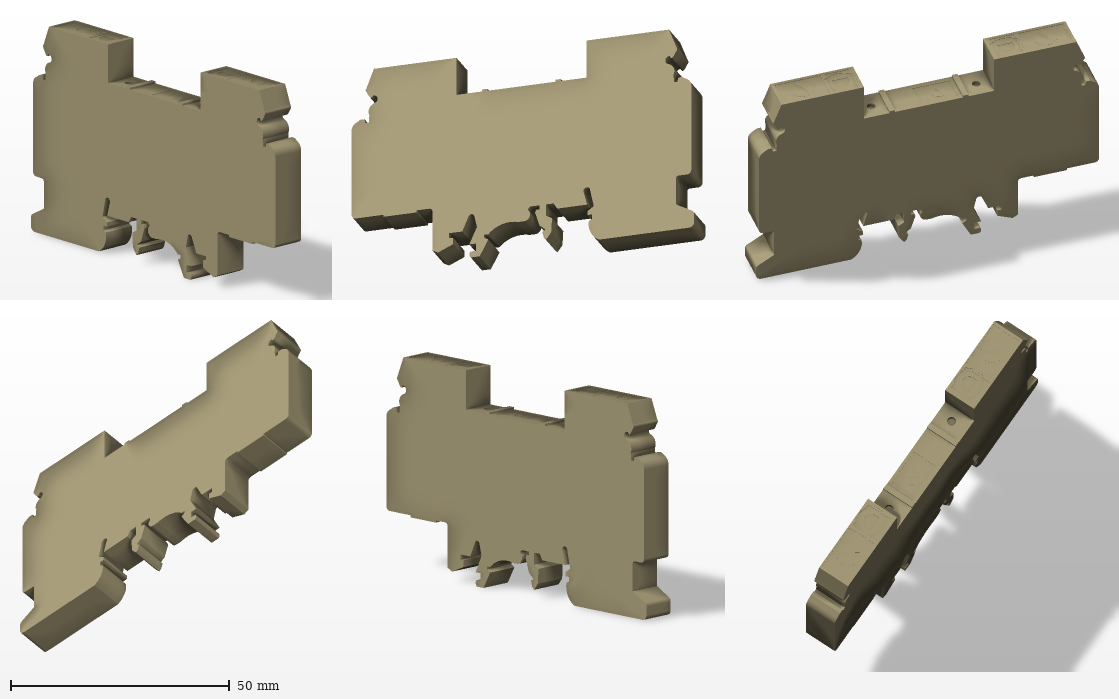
import cadquery as cq
import math


THICKNESS = 8.0
HALF_LENGTH = 41.05
TOP_Z = 50.11
CENTRE_Z = 40.9
BODY_BOTTOM_Z = 13.5
JOIN_Z = 20.0
CORNER_RADIUS = 1.0

TOWER_INNER_X = 15.7
TOWER_OUTER_X = 35.65
RIB_INNER_X = 8.2
RIB_WIDTH = 1.35
RIB_HEIGHT = 0.5

FOOT_X = -41.75
FOOT_BOTTOM_Z = 0.2
FOOT_RADIUS = 1.2
NECK_X = -37.4
NECK_FILLET = 0.6
SUPPORT_X = 21.5
SUPPORT_FILLET = 0.8
PAD_START_X = 25.3
PAD_END_X = 33.3
PAD_DROP = 0.5

DETAIL_Y = -0.22
STEP = 0.1
SLOT_ANGLE = -56.5
TERMINAL_SCREW_X = 29.35
TERMINAL_SCREW_DIAMETER = 5.2
TERMINAL_SLOT_WIDTH = 1.0
TERMINAL_PANEL = (11.1, 7.0)
TRIM_SCREW_X = 3.55
TRIM_SCREW_DIAMETER = 3.5
TRIM_SLOT_WIDTH = 0.7
TRIM_PANEL = (9.1, 6.05)
TRIM_PANEL_X = 2.75
TEST_HOLE_X = 12.7
TEST_HOLE_DIAMETER = 2.01
TEST_HOLE_DEPTH = 1.0
WINDOW_X = 19.95

WINDOW_HALF_WIDTH = 3.0
WINDOW_TOP_Y = 3.55
WINDOW_BOTTOM_Y = -3.0
FUNNEL_HALF_WIDTH = 3.55
FUNNEL_SHOULDER_Y = 1.6
FUNNEL_TOP_Y = 3.05
FUNNEL_LOWER_Y = -1.7
FUNNEL_BOTTOM_Y = -3.5
ENTRY_RADIUS = 1.9
ENTRY_TOP_Y = 1.05


def trace(start, steps):
    """Chain lines (one point) and arcs (mid point, end point) into a closed XZ slab."""
    outline = cq.Workplane("XZ", origin=(0, THICKNESS / 2, 0)).moveTo(*start)
    for step in steps:
        if len(step) == 1:
            outline = outline.lineTo(*step[0])
        else:
            outline = outline.threePointArc(*step)
    return outline.close().extrude(THICKNESS)


def rounded_corner(corner, toward_start, toward_end, radius):
    """Line and quarter arc rounding a square corner; the two directions are unit vectors."""
    x, z = corner
    mid_offset = radius * (1 - math.sqrt(0.5))
    start = (x + radius * toward_start[0], z + radius * toward_start[1])
    end = (x + radius * toward_end[0], z + radius * toward_end[1])
    middle = (
        x + mid_offset * (toward_start[0] + toward_end[0]),
        z + mid_offset * (toward_start[1] + toward_end[1]),
    )
    return [[start], [middle, end]]


def upper_half():
    """Right half of the upper housing with tower, marker groove and rounded shoulder."""
    return trace((0, JOIN_Z), [
        [(0, CENTRE_Z)],
        [(TOWER_INNER_X, CENTRE_Z)],
        [(TOWER_INNER_X, TOP_Z)],
        [(TOWER_OUTER_X, TOP_Z)],
        [(37.5, 45.4)],
        [(37.65, 45.0), (37.5, 44.6)],
        [(36.8, 43.4)],
        [(36.5, 43.0)],
        [(36.1, 43.0)],
        [(35.85, 43.5)],
        [(34.95, 43.1), (35.3, 41.65)],
        [(36.55, 40.85), (36.75, 38.7)],
        [(36.9, 36.9)],
        [(37.7, 36.9)],
        [(37.95, 37.9)],
        [(38.9, 37.9)],
        [(40.2, 37.1)],
        [(40.8, 36.4), (HALF_LENGTH, 35.5)],
        [(HALF_LENGTH, JOIN_Z)],
    ])


def lower_body():
    """Underside with the rail foot, the spring latch, the two hooks and the rail support."""
    return trace((-HALF_LENGTH, JOIN_Z), [
        *rounded_corner((-HALF_LENGTH, BODY_BOTTOM_Z), (0, 1), (1, 0), CORNER_RADIUS),
        *rounded_corner((NECK_X, BODY_BOTTOM_Z), (-1, 0), (0, -1), NECK_FILLET),
        [(NECK_X, 6.4)],
        [(-41.3, 4.3)],
        [(-41.63, 3.95), (FOOT_X, 3.5)],
        *rounded_corner((FOOT_X, FOOT_BOTTOM_Z), (0, 1), (1, 0), FOOT_RADIUS),
        [(-18.8, FOOT_BOTTOM_Z)],
        [(-17.0, 1.8), (-16.3, 5.2)],
        [(-17.1, 5.6)],
        [(-17.1, 6.7)],
        [(-15.95, 6.7)],
        [(-15.95, 7.7)],
        [(-17.5, 8.7)],
        [(-16.6, 12.7)],
        [(-15.7, 13.6), (-15.0, 12.6)],
        [(-15.9, 9.3)],
        [(-8.6, 9.3)],
        [(-7.8, 10.7)],
        [(-6.0, 10.7)],
        [(-6.0, 7.9)],
        [(-7.4, 7.1)],
        [(-7.2, 3.6)],
        [(-6.0, 2.0)],
        [(-5.4, 2.6)],
        [(-5.0, 4.0)],
        [(-5.8, 4.5)],
        [(-5.0, 5.2)],
        [(-4.4, 5.6)],
        [(-3.3, 9.0)],
        [(-3.5, 9.7)],
        [(-4.4, 9.7)],
        [(-4.4, 10.7)],
        [(-2.2, 10.7)],
        [(-1.75, 10.4), (-2.0, 9.4)],
        [(-1.9, 8.0), (-0.75, 7.25)],
        [(0.7, 7.25)],
        [(4.8, 7.2), (8.0, 5.2)],
        [(9.0, 5.2)],
        [(9.0, 4.5)],
        [(8.0, 3.9)],
        [(10.1, 0)],
        [(12.2, 0)],
        [(12.6, 0.75), (12.3, 1.5)],
        [(11.0, 1.5)],
        [(11.0, 3.3)],
        [(12.6, 3.3)],
        [(10.75, 7.4)],
        [(11.4, 10.2)],
        [(12.1, 10.75), (12.8, 10.2)],
        [(14.3, 6.75)],
        [(17.5, 6.75)],
        [(17.5, 5.5)],
        [(16.5, 5.5)],
        [(16.5, 3.9)],
        [(20.2, 2.3)],
        [(SUPPORT_X, 3.0)],
        *rounded_corner((SUPPORT_X, BODY_BOTTOM_Z), (0, -1), (1, 0), SUPPORT_FILLET),
        [(PAD_START_X, BODY_BOTTOM_Z)],
        [(PAD_START_X, BODY_BOTTOM_Z - PAD_DROP)],
        [(PAD_END_X, BODY_BOTTOM_Z - PAD_DROP)],
        [(PAD_END_X, BODY_BOTTOM_Z)],
        *rounded_corner((HALF_LENGTH, BODY_BOTTOM_Z), (-1, 0), (0, 1), CORNER_RADIUS),
        [(HALF_LENGTH, JOIN_Z)],
    ])


def top_plane(x, z):
    """Horizontal sketch plane on the detail centre line."""
    return cq.Workplane("XY", origin=(x, DETAIL_Y, z))


def rib(side):
    """Low rib crossing the full thickness of the centre floor."""
    x = side * (RIB_INNER_X + RIB_WIDTH / 2)
    return (
        cq.Workplane("XY", origin=(x, 0, CENTRE_Z))
        .rect(RIB_WIDTH, THICKNESS)
        .extrude(RIB_HEIGHT)
    )


def add_screw(body, screw_x, panel_x, z, panel, diameter, slot_width):
    """Sink a shallow panel and leave a slotted screw head standing in it."""
    recess = top_plane(panel_x, z).rect(*panel).extrude(-STEP)
    slot = (
        top_plane(screw_x, z)
        .transformed(rotate=(0, 0, SLOT_ANGLE))
        .rect(diameter, slot_width)
        .extrude(-STEP)
    )
    head = top_plane(screw_x, z - STEP).circle(diameter / 2).extrude(STEP / 2)
    return body.cut(recess).union(head.cut(slot))


def arch_radius(rise):
    """Radius of a funnel arch that spans the funnel width with the given rise."""
    return (FUNNEL_HALF_WIDTH**2 + rise**2) / (2 * rise)


def arch_sagitta(radius, half_chord):
    """Drop of an arch below its crown at the given distance from the middle."""
    return radius - math.sqrt(radius**2 - half_chord**2)


def cut_window(body, x):
    """Cut the stepped conductor entry: funnel, rectangular window and D-shaped opening."""
    plane = top_plane(x, TOP_Z)
    funnel = (
        plane.moveTo(-FUNNEL_HALF_WIDTH, FUNNEL_LOWER_Y)
        .lineTo(-FUNNEL_HALF_WIDTH, FUNNEL_SHOULDER_Y)
        .threePointArc((0, FUNNEL_TOP_Y), (FUNNEL_HALF_WIDTH, FUNNEL_SHOULDER_Y))
        .lineTo(FUNNEL_HALF_WIDTH, FUNNEL_LOWER_Y)
        .threePointArc((0, FUNNEL_BOTTOM_Y), (-FUNNEL_HALF_WIDTH, FUNNEL_LOWER_Y))
        .close()
        .extrude(-STEP)
    )
    window = (
        plane.center(0, (WINDOW_TOP_Y + WINDOW_BOTTOM_Y) / 2)
        .rect(2 * WINDOW_HALF_WIDTH, WINDOW_TOP_Y - WINDOW_BOTTOM_Y)
        .extrude(-STEP)
    )
    arch_side_y = FUNNEL_TOP_Y - arch_sagitta(
        arch_radius(FUNNEL_TOP_Y - FUNNEL_SHOULDER_Y), WINDOW_HALF_WIDTH
    )
    lower_radius = arch_radius(FUNNEL_LOWER_Y - FUNNEL_BOTTOM_Y)
    lower_centre_y = FUNNEL_BOTTOM_Y + lower_radius
    bulge_half_width = math.sqrt(lower_radius**2 - (lower_centre_y - WINDOW_BOTTOM_Y) ** 2)
    floor = (
        plane.moveTo(-WINDOW_HALF_WIDTH, WINDOW_BOTTOM_Y)
        .lineTo(-WINDOW_HALF_WIDTH, arch_side_y)
        .threePointArc((0, FUNNEL_TOP_Y), (WINDOW_HALF_WIDTH, arch_side_y))
        .lineTo(WINDOW_HALF_WIDTH, WINDOW_BOTTOM_Y)
        .lineTo(bulge_half_width, WINDOW_BOTTOM_Y)
        .threePointArc((0, FUNNEL_BOTTOM_Y), (-bulge_half_width, WINDOW_BOTTOM_Y))
        .close()
        .extrude(-2 * STEP)
    )
    entry = (
        plane.moveTo(-ENTRY_RADIUS, ENTRY_TOP_Y)
        .lineTo(ENTRY_RADIUS, ENTRY_TOP_Y)
        .lineTo(ENTRY_RADIUS, 0)
        .threePointArc((0, -ENTRY_RADIUS), (-ENTRY_RADIUS, 0))
        .close()
        .extrude(-3 * STEP)
    )
    return body.cut(funnel).cut(window).cut(floor).cut(entry)


def cut_test_hole(body, x):
    """Blind test-probe hole in the centre floor."""
    hole = top_plane(x, CENTRE_Z).circle(TEST_HOLE_DIAMETER / 2).extrude(-TEST_HOLE_DEPTH)
    return body.cut(hole)


right_half = upper_half()
result = right_half.union(right_half.mirror("YZ")).union(lower_body())

for side in (-1, 1):
    result = result.union(rib(side))
    result = cut_test_hole(result, side * TEST_HOLE_X)
    result = cut_window(result, side * WINDOW_X)
    terminal_x = side * TERMINAL_SCREW_X
    result = add_screw(
        result, terminal_x, terminal_x, TOP_Z,
        TERMINAL_PANEL, TERMINAL_SCREW_DIAMETER, TERMINAL_SLOT_WIDTH,
    )

result = add_screw(
    result, TRIM_SCREW_X, TRIM_PANEL_X, CENTRE_Z,
    TRIM_PANEL, TRIM_SCREW_DIAMETER, TRIM_SLOT_WIDTH,
)
result = result.clean()